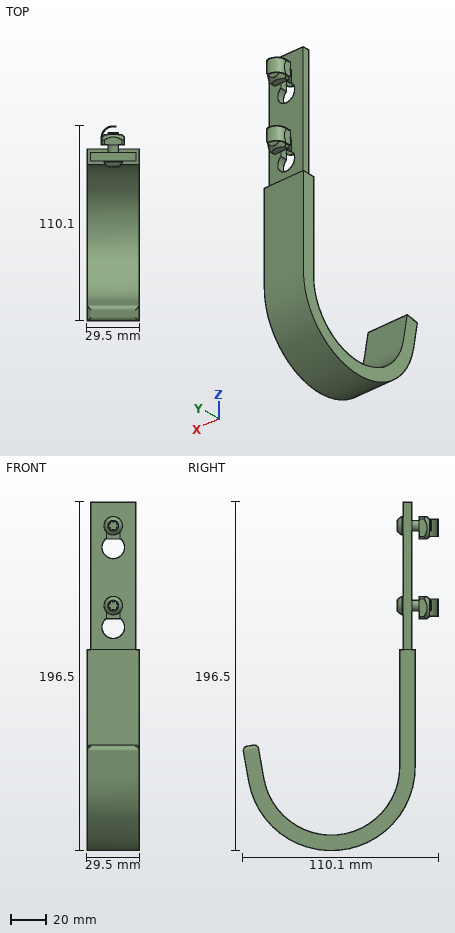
import cadquery as cq
import math

TOTAL_HEIGHT = 196.5
BAR_WIDTH = 25.5
BAR_THICKNESS = 5.0
COATING = 2.0
HOOK_WIDTH = BAR_WIDTH + 2 * COATING
HOOK_THICKNESS = BAR_THICKNESS + 2 * COATING
HOOK_TOP = 113.5
BEND_RADIUS = 47.4
TIP_LENGTH = 19.7
TIP_LEAN = math.radians(10.0)
TIP_FILLET = 2.5

FASTENER_COUNT = 2
FASTENER_PITCH = 45.0
TOP_FASTENER_INSET = 13.4
TOP_FASTENER_Z = TOTAL_HEIGHT - TOP_FASTENER_INSET
KEYHOLE_SLOT_WIDTH = 7.9
KEYHOLE_DIAMETER = 12.5
KEYHOLE_DROP = 12.2

SHANK_DIAMETER = 6.0
SHANK_TIP_DIAMETER = 5.0
SHANK_PROTRUSION = 1.2
HEAD_DIAMETER = 10.5
HEAD_CROWN_DIAMETER = 6.0
HEAD_HEIGHT = 3.3
HEAD_RIM_HEIGHT = 0.5
SOCKET_CORE_DIAMETER = 4.3
SOCKET_LOBE_DIAMETER = 1.5
SOCKET_OUTER_DIAMETER = 5.7
SOCKET_LOBES = 6
SOCKET_DEPTH = 1.2

NUT_SIZE = 12.5
NUT_THICKNESS = 5.9
NUT_CORNER_CUT = 1.4
NUT_FACE_DIAMETER = 9.8
NUT_GAP = 4.1
NUT_DROP = 1.2
SPRING_THICKNESS = 0.5
SPRING_WIDTH = NUT_SIZE - 2 * NUT_CORNER_CUT
SPRING_FLAT_LENGTH = 4.0
SPRING_RADIUS = 6.9
SPRING_END_LENGTH = 1.5
SPRING_CORNER_RADIUS = 1.4

BAR_FRONT = -BAR_THICKNESS / 2
BAR_BACK = BAR_THICKNESS / 2
NUT_FRONT = BAR_BACK + NUT_GAP
NUT_BACK = NUT_FRONT + NUT_THICKNESS
SHANK_END = NUT_BACK + SHANK_PROTRUSION


def cylinder_along_y(diameter, y_start, length, z=0.0, x=0.0):
    """Cylinder running toward +Y from y_start."""
    return cq.Workplane(cq.Solid.makeCylinder(
        diameter / 2, length, cq.Vector(x, y_start, z), cq.Vector(0, 1, 0)))


def make_hook_profile():
    """J-shaped side outline of the coated hook in the YZ plane."""
    back = HOOK_THICKNESS / 2
    inner_radius = BEND_RADIUS - HOOK_THICKNESS
    bend_centre_y = back - BEND_RADIUS
    bend_end = math.pi - TIP_LEAN

    def on_bend(radius, angle):
        return (bend_centre_y + radius * math.cos(angle),
                BEND_RADIUS - radius * math.sin(angle))

    def tip_end(radius):
        y, z = on_bend(radius, bend_end)
        return (y - TIP_LENGTH * math.sin(TIP_LEAN), z + TIP_LENGTH * math.cos(TIP_LEAN))

    return (
        cq.Workplane("YZ", origin=(-HOOK_WIDTH / 2, 0, 0))
        .moveTo(back, HOOK_TOP)
        .lineTo(*on_bend(BEND_RADIUS, 0))
        .threePointArc(on_bend(BEND_RADIUS, bend_end / 2), on_bend(BEND_RADIUS, bend_end))
        .lineTo(*tip_end(BEND_RADIUS))
        .lineTo(*tip_end(inner_radius))
        .lineTo(*on_bend(inner_radius, bend_end))
        .threePointArc(on_bend(inner_radius, bend_end / 2), on_bend(inner_radius, 0))
        .lineTo(-back, HOOK_TOP)
        .close()
    )


def make_keyhole(screw_z):
    """Cutter for a slot round the screw that opens into a larger hole below it."""
    hole_z = screw_z - KEYHOLE_DROP
    slot_end = cylinder_along_y(KEYHOLE_SLOT_WIDTH, BAR_FRONT, BAR_THICKNESS, screw_z)
    slot = cq.Workplane("XY").box(KEYHOLE_SLOT_WIDTH, BAR_THICKNESS, KEYHOLE_DROP).translate(
        (0, 0, (screw_z + hole_z) / 2))
    hole = cylinder_along_y(KEYHOLE_DIAMETER, BAR_FRONT, BAR_THICKNESS, hole_z)
    return slot.union(slot_end).union(hole)


def make_hook(fastener_heights):
    hook = make_hook_profile().extrude(HOOK_WIDTH)
    tip_face = cq.Vector(0, -math.sin(TIP_LEAN), math.cos(TIP_LEAN))
    hook = hook.faces(cq.selectors.ParallelDirSelector(tip_face)).edges().fillet(TIP_FILLET)

    bar_length = TOTAL_HEIGHT - HOOK_TOP
    bar = cq.Workplane("XY", origin=(0, 0, HOOK_TOP)).rect(BAR_WIDTH, BAR_THICKNESS).extrude(bar_length)
    for screw_z in fastener_heights:
        bar = bar.cut(make_keyhole(screw_z))
    return hook.union(bar)


def make_socket():
    """Cutter for the six-lobe socket in the crown of the screw head."""
    crown_y = BAR_FRONT - HEAD_HEIGHT
    lobe_offset = (SOCKET_OUTER_DIAMETER - SOCKET_LOBE_DIAMETER) / 2
    socket = cylinder_along_y(SOCKET_CORE_DIAMETER, crown_y, SOCKET_DEPTH)
    for i in range(SOCKET_LOBES):
        angle = 2 * math.pi * i / SOCKET_LOBES
        lobe_z = lobe_offset * math.sin(angle)
        lobe_x = lobe_offset * math.cos(angle)
        lobe = cylinder_along_y(SOCKET_LOBE_DIAMETER, crown_y, SOCKET_DEPTH, lobe_z, lobe_x)
        socket = socket.union(lobe)
    return socket


def make_screw(screw_z):
    shank_radius = SHANK_DIAMETER / 2
    tip_radius = SHANK_TIP_DIAMETER / 2
    head_radius = HEAD_DIAMETER / 2
    crown_radius = HEAD_CROWN_DIAMETER / 2

    dome_base = BAR_FRONT - HEAD_RIM_HEIGHT
    dome_height = HEAD_HEIGHT - HEAD_RIM_HEIGHT
    centre_depth = (dome_height**2 + crown_radius**2 - head_radius**2) / (2 * dome_height)
    dome_radius = math.hypot(head_radius, centre_depth)
    mid_depth = dome_height / 2
    mid_radius = math.sqrt(dome_radius**2 - (mid_depth - centre_depth)**2)

    screw = (
        cq.Workplane("XY")
        .moveTo(0, BAR_FRONT - HEAD_HEIGHT)
        .lineTo(crown_radius, BAR_FRONT - HEAD_HEIGHT)
        .threePointArc((mid_radius, dome_base - mid_depth), (head_radius, dome_base))
        .lineTo(head_radius, BAR_FRONT)
        .lineTo(shank_radius, BAR_FRONT)
        .lineTo(shank_radius, SHANK_END - (shank_radius - tip_radius))
        .lineTo(tip_radius, SHANK_END)
        .lineTo(0, SHANK_END)
        .close()
        .revolve(360, (0, 0, 0), (0, 1, 0))
    )
    return screw.cut(make_socket()).translate((0, 0, screw_z))


def make_spring():
    """Thin strip lying on the -X side of the nut, then curling over behind it."""
    outer_x = -NUT_SIZE / 2 - SPRING_THICKNESS
    inner_x = -NUT_SIZE / 2
    inner_radius = SPRING_RADIUS - SPRING_THICKNESS
    centre_x = outer_x + SPRING_RADIUS
    centre_y = NUT_FRONT + SPRING_FLAT_LENGTH
    end_x = centre_x + SPRING_END_LENGTH
    diagonal = math.sqrt(0.5)
    return (
        cq.Workplane("XY", origin=(0, 0, -SPRING_WIDTH / 2))
        .moveTo(inner_x, NUT_FRONT)
        .lineTo(outer_x, NUT_FRONT)
        .lineTo(outer_x, centre_y)
        .threePointArc(
            (centre_x - SPRING_RADIUS * diagonal, centre_y + SPRING_RADIUS * diagonal),
            (centre_x, centre_y + SPRING_RADIUS))
        .lineTo(end_x, centre_y + SPRING_RADIUS)
        .lineTo(end_x, centre_y + inner_radius)
        .lineTo(centre_x, centre_y + inner_radius)
        .threePointArc(
            (centre_x - inner_radius * diagonal, centre_y + inner_radius * diagonal),
            (inner_x, centre_y))
        .close()
        .extrude(SPRING_WIDTH)
        .faces(">X")
        .edges("|Y")
        .fillet(SPRING_CORNER_RADIUS)
    )


def make_nut(screw_z):
    block = (
        cq.Workplane("XY")
        .box(NUT_SIZE, NUT_THICKNESS, NUT_SIZE)
        .edges("|Y")
        .chamfer(NUT_CORNER_CUT)
        .translate((0, (NUT_FRONT + NUT_BACK) / 2, 0))
    )
    face_radius = NUT_FACE_DIAMETER / 2
    cone = cq.Workplane(cq.Solid.makeCone(
        face_radius + NUT_THICKNESS, face_radius, NUT_THICKNESS,
        cq.Vector(0, NUT_FRONT, 0), cq.Vector(0, 1, 0)))
    shank_hole = cylinder_along_y(SHANK_DIAMETER, NUT_FRONT, NUT_THICKNESS, NUT_DROP)
    nut = block.intersect(cone).cut(shank_hole).union(make_spring())
    return nut.translate((0, 0, screw_z - NUT_DROP))


fastener_heights = [TOP_FASTENER_Z - i * FASTENER_PITCH for i in range(FASTENER_COUNT)]
hook = make_hook(fastener_heights)
screws = [make_screw(screw_z) for screw_z in fastener_heights]
nuts = [make_nut(screw_z) for screw_z in fastener_heights]

bodies = [hook, *screws, *nuts]
result = cq.Compound.makeCompound([body.val() for body in bodies])